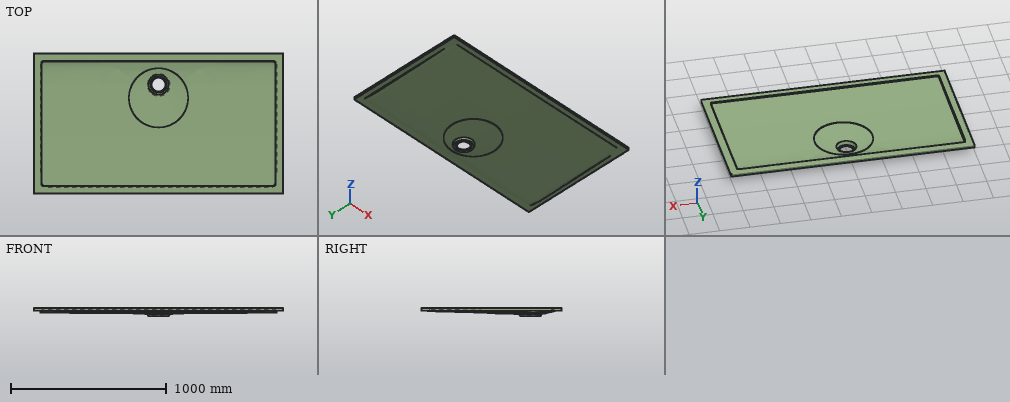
import cadquery as cq


LENGTH = 1599.79
WIDTH = 899.79
HEIGHT = 54.71

RIM_WIDTH = 48.0
RIM_HEIGHT = 20.0
RIM_EDGE_RADIUS = 4.0
BASIN_CORNER_RADIUS = 15.0
BASIN_EDGE_BEVEL = 4.0

SHELL = 13.5
WALL_OFFSET = 8.0
HALF_LENGTH = LENGTH / 2 - RIM_WIDTH
HALF_WIDTH = WIDTH / 2 - RIM_WIDTH
STRIP_X = 730.0
STRIP_SLOPE = 0.08
FLOOR_JOINT_X = 375.0
JOINT_RISE = 0.7
STRIP_RISE = 2.0
FRONT_JOINT_Y = -90.0
FRONT_DEPTH = 8.5
JOINT_DEPTH = 17.0
DRAIN_LINE_DEPTH = 21.0
BACK_DEPTH = 5.0
BACK_CURVE_DEGREE = 4
OVERLAP = 10.0

DRAIN_Y = 250.0
DRAIN_LIP_RADIUS = 65.0
DRAIN_LIP_DEPTH = 27.0
DRAIN_SEAT_RADIUS = 52.0
DRAIN_SEAT_DEPTH = 49.0
DRAIN_LIP_BEVEL = 4.0
DRAIN_HOLE_RADIUS = 44.0
FUNNEL_Y = 165.0
FUNNEL_RADIUS = 190.0
FUNNEL_DEPTH = 21.5
HUB_TOP_RADIUS = 72.0
HUB_BASE_RADIUS = 64.0


def floor_rise(x):
    """Height of the floor at x above its middle line, steepening at each lengthwise joint."""
    outer = abs(x)
    if outer <= FLOOR_JOINT_X:
        return JOINT_RISE * outer / FLOOR_JOINT_X
    if outer <= STRIP_X:
        share = (outer - FLOOR_JOINT_X) / (STRIP_X - FLOOR_JOINT_X)
        return JOINT_RISE + (STRIP_RISE - JOINT_RISE) * share
    return STRIP_RISE + STRIP_SLOPE * (outer - STRIP_X)


def floor_line(x, drop):
    """Front-to-back edges of the floor at x: two straight edges and a rising curve."""
    lift = floor_rise(x) - drop

    def point(y, depth):
        return cq.Vector(x, y, lift - depth)

    front = point(-HALF_WIDTH - OVERLAP, FRONT_DEPTH)
    joint = point(FRONT_JOINT_Y, JOINT_DEPTH)
    drain = point(DRAIN_Y, DRAIN_LINE_DEPTH)
    back_y = HALF_WIDTH + OVERLAP
    step = (back_y - DRAIN_Y) / BACK_CURVE_DEGREE
    level = [point(DRAIN_Y + i * step, DRAIN_LINE_DEPTH) for i in range(BACK_CURVE_DEGREE)]
    back = point(back_y, BACK_DEPTH)
    return [
        cq.Edge.makeLine(front, joint),
        cq.Edge.makeLine(joint, drain),
        cq.Edge.makeBezier(level + [back]),
    ]


def at_rim_top(point):
    return cq.Vector(point.x, point.y, 0)


def flat_face(points):
    return cq.Face.makeFromWires(cq.Wire.makePolygon(points, close=True))


def space_above_floor(drop):
    """Solid between the floor sheet, lowered by drop, and the rim top."""
    xs = [FLOOR_JOINT_X, STRIP_X, HALF_LENGTH + OVERLAP]
    columns = [-x for x in reversed(xs)] + [0] + xs
    lines = [floor_line(x, drop) for x in columns]
    faces = []
    for left, right in zip(lines, lines[1:]):
        faces += [cq.Face.makeRuledSurface(a, b) for a, b in zip(left, right)]

    for line in (lines[0], lines[-1]):
        foot_front, foot_back = line[0].startPoint(), line[-1].endPoint()
        rest = [foot_back, at_rim_top(foot_back), at_rim_top(foot_front), foot_front]
        top_edges = [cq.Edge.makeLine(a, b) for a, b in zip(rest, rest[1:])]
        faces.append(cq.Face.makeFromWires(cq.Wire.assembleEdges(line + top_edges)))
    front_feet = [line[0].startPoint() for line in lines]
    back_feet = [line[-1].endPoint() for line in lines]
    for feet in (front_feet, back_feet):
        faces.append(flat_face([at_rim_top(feet[0])] + feet + [at_rim_top(feet[-1])]))
    lid = [front_feet[0], front_feet[-1], back_feet[-1], back_feet[0]]
    faces.append(flat_face([at_rim_top(p) for p in lid]))
    return cq.Workplane(cq.Solid.makeSolid(cq.Shell.makeShell(faces)))


def opening(grow):
    """Rounded plan of the basin opening, grown on every side."""
    plan = cq.Sketch().rect(2 * (HALF_LENGTH + grow), 2 * (HALF_WIDTH + grow))
    return cq.Workplane("XY").placeSketch(plan.vertices().fillet(BASIN_CORNER_RADIUS + grow))


def edge_bevel():
    """Cut that breaks the upper edge of the basin opening at 45 degrees."""
    return opening(0).extrude(-BASIN_EDGE_BEVEL, taper=45)


def funnel(drop):
    """Shallow skewed funnel from the floor circle to the drain lip, lowered by drop."""
    top = -FUNNEL_DEPTH - drop
    slope = (
        cq.Workplane("XY", origin=(0, FUNNEL_Y, top))
        .circle(FUNNEL_RADIUS)
        .workplane(offset=FUNNEL_DEPTH - DRAIN_LIP_DEPTH)
        .center(0, DRAIN_Y - FUNNEL_Y)
        .circle(DRAIN_LIP_RADIUS)
        .loft(ruled=True)
    )
    mouth = cq.Workplane("XY", origin=(0, FUNNEL_Y, top)).circle(FUNNEL_RADIUS).extrude(-top)
    return slope.union(mouth)


def turned(profile):
    """Revolve a (radius, z) profile about the drain axis."""
    axis_plane = cq.Workplane("XZ", origin=(0, DRAIN_Y, 0))
    return axis_plane.polyline(profile).close().revolve(360, (0, 0, 0), (0, 1, 0))


def basin(grow, drop):
    """Space taken by the basin: the grown opening down to the lowered floor, with the funnel below it."""
    return space_above_floor(drop).intersect(opening(grow).extrude(-HEIGHT)).union(funnel(drop))


def hub():
    """Boss under the drain, tapering to the lowest face."""
    taper_top = -DRAIN_LIP_DEPTH - SHELL
    return turned([
        (0, -DRAIN_LIP_DEPTH),
        (HUB_TOP_RADIUS, -DRAIN_LIP_DEPTH),
        (HUB_TOP_RADIUS, taper_top),
        (HUB_BASE_RADIUS, -HEIGHT),
        (0, -HEIGHT),
    ])


def drain():
    """Space of the drain: bevelled conical seat with a through hole."""
    return turned([
        (0, -FUNNEL_DEPTH),
        (DRAIN_LIP_RADIUS, -FUNNEL_DEPTH),
        (DRAIN_LIP_RADIUS, -DRAIN_LIP_DEPTH),
        (DRAIN_LIP_RADIUS - DRAIN_LIP_BEVEL, -DRAIN_LIP_DEPTH - DRAIN_LIP_BEVEL),
        (DRAIN_SEAT_RADIUS, -DRAIN_SEAT_DEPTH),
        (DRAIN_HOLE_RADIUS, -DRAIN_SEAT_DEPTH),
        (DRAIN_HOLE_RADIUS, -HEIGHT),
        (0, -HEIGHT),
    ])


def rim():
    """Flat slab with a rounded upper edge."""
    return (
        cq.Workplane("XY")
        .rect(LENGTH, WIDTH)
        .extrude(-RIM_HEIGHT)
        .faces(">Z")
        .edges()
        .fillet(RIM_EDGE_RADIUS)
    )


tray = rim().union(basin(WALL_OFFSET, SHELL)).union(hub())
result = tray.cut(basin(-BASIN_EDGE_BEVEL, 0)).cut(edge_bevel()).cut(drain())